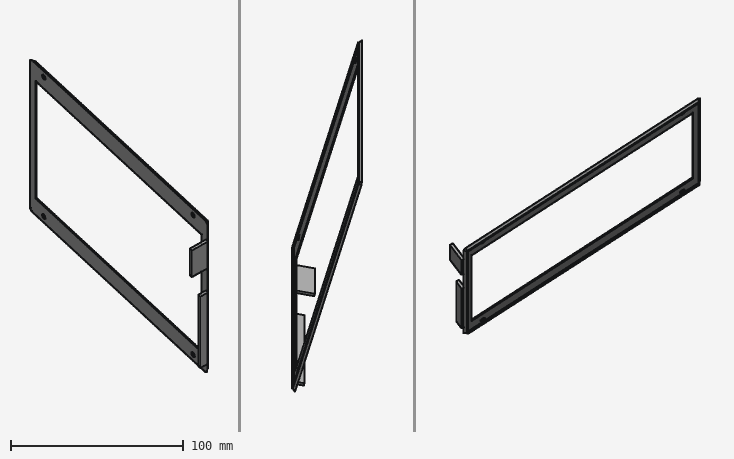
import cadquery as cq
import math

overall_width = 168.5
overall_depth = 14.0
plate_height = 126.4
plate_width = 167.5
plate_thickness = 2.0
corner_cut = 1.5
edge_bevel = 1.5

floor_thickness = 0.8
rim_width = 0.5

window_left = 5.4
window_right = 162.1
window_bottom = 13.8
window_top = 111.7

hole_diameter = 3.2
hole_left = 13.1
hole_spacing_x = 141.0
hole_inset_z = 5.0

tab_thickness = 2.0
tab_corner_bevel = 0.7
tall_tab_depth = overall_depth - plate_thickness
short_tab_depth = 5.7
upper_tab_span = (89.0, 111.2)
lower_tab_span = (9.3, 68.7)


def box_between(x_span, y_span, z_span):
    """Make a box filling the given coordinate ranges."""
    return cq.Workplane("XY").box(
        x_span[1] - x_span[0],
        y_span[1] - y_span[0],
        z_span[1] - z_span[0],
        centered=False,
    ).translate((x_span[0], y_span[0], z_span[0]))


def plate_outline(inset):
    """Rectangle with cut corners, moved inward by inset on every side."""
    corner_leg = corner_cut - inset * (2 - math.sqrt(2))
    sketch = (
        cq.Sketch()
        .rect(plate_width - 2 * inset, plate_height - 2 * inset)
        .vertices()
        .chamfer(corner_leg)
    )
    return (
        cq.Workplane("XZ")
        .center(plate_width / 2, plate_height / 2)
        .placeSketch(sketch)
    )


def make_plate():
    """Plate with a flat front at Y = 0, 45 degree sides, a straight land and a back recess."""
    front_solid = plate_outline(0).extrude(-edge_bevel, taper=45)
    land = plate_outline(edge_bevel).extrude(-plate_thickness)
    rim_inset = edge_bevel + rim_width
    recess = box_between(
        (rim_inset, plate_width - rim_inset),
        (floor_thickness, plate_thickness),
        (rim_inset, plate_height - rim_inset),
    )
    return front_solid.union(land).cut(recess)


def make_window():
    """Cutter for the rectangular opening."""
    return box_between(
        (window_left, window_right), (0, plate_thickness), (window_bottom, window_top)
    )


def make_holes():
    """Cutters for the four mounting holes."""
    centers = [
        (x, z)
        for x in (hole_left, hole_left + hole_spacing_x)
        for z in (hole_inset_z, plate_height - hole_inset_z)
    ]
    return (
        cq.Workplane("XZ")
        .pushPoints(centers)
        .circle(hole_diameter / 2)
        .extrude(-plate_thickness)
    )


def make_tab(depth, z_span):
    """Tab at the right edge, joined to the plate where it overlaps the front face, outer root corner cut."""
    tab = box_between((overall_width - tab_thickness, overall_width), (-depth, 0), z_span)
    return tab.edges(">X and >Y").chamfer(tab_corner_bevel)


result = (
    make_plate()
    .cut(make_window())
    .cut(make_holes())
    .union(make_tab(tall_tab_depth, upper_tab_span))
    .union(make_tab(short_tab_depth, lower_tab_span))
)